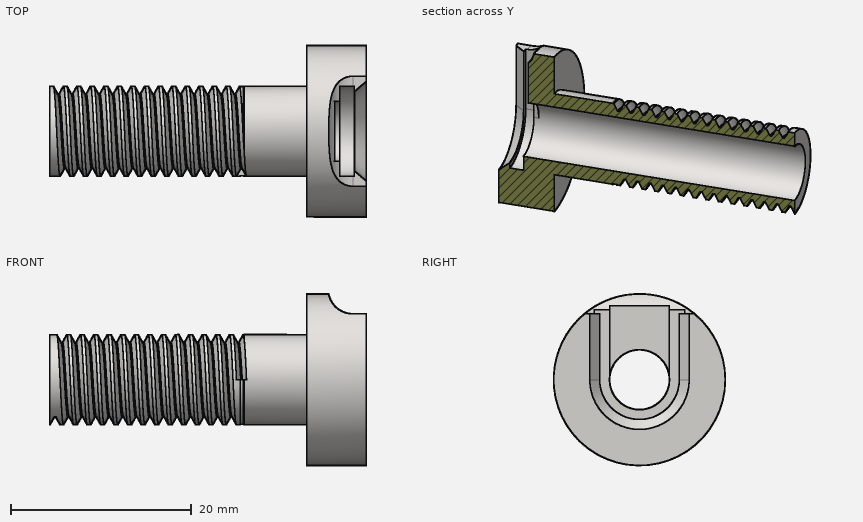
import cadquery as cq
import math

total_length = 35.0
head_diameter = 19.0
head_thickness = 6.6
shank_diameter = 10.0
bore_diameter = 6.6

shank_radius = shank_diameter / 2
head_radius = head_diameter / 2
bore_radius = bore_diameter / 2
head_start = total_length - head_thickness

thread_pitch = 1.5
thread_turns = 13.75
groove_width = 1.12
groove_root_width = 0.17
groove_depth = 0.86
groove_end_clearance = 0.02
groove_start = groove_width / 2 + groove_end_clearance
cutter_overshoot = 0.1

runout_start = 21.05
runout_floor_end = 21.4
runout_end = 21.5
runout_depth = 0.05

relief_height = 7.3
relief_arc_radius = 2.7
relief_flat_length = 1.5

narrow_slot_start = 31.5
wide_slot_start = 32.05
wide_slot_end = 33.65
wide_slot_radius = 5.0
mouth_start = 33.7
mouth_inner_radius = 4.4
mouth_outer_radius = 5.5


def make_body():
    """Shank and head with the through bore."""
    shank = cq.Workplane("YZ").circle(shank_radius).extrude(head_start)
    head = cq.Workplane("YZ").workplane(offset=head_start).circle(head_radius).extrude(head_thickness)
    bore = cq.Workplane("YZ").circle(bore_radius).extrude(total_length)
    return shank.union(head).cut(bore)


def groove_section():
    """V groove section in the XZ plane, with the thread axis along Z."""
    root_radius = shank_radius - groove_depth
    outer_radius = shank_radius + cutter_overshoot
    flank_slope = (groove_width - groove_root_width) / 2 / groove_depth
    root_half = groove_root_width / 2
    outer_half = groove_width / 2 + flank_slope * cutter_overshoot
    return cq.Workplane("XZ").polyline([
        (root_radius, -root_half),
        (outer_radius, -outer_half),
        (outer_radius, outer_half),
        (root_radius, root_half),
    ]).close()


def lay_along_bolt(cutter):
    """Turn a cutter built about Z so that it follows X and starts at the -Z side of the shank."""
    return cutter.rotate((0, 0, 0), (0, 1, 0), 90).translate((groove_start, 0, 0))


def make_thread_cutter():
    """Helical V groove."""
    helix = cq.Wire.makeHelix(thread_pitch, thread_pitch * thread_turns, shank_radius)
    return lay_along_bolt(groove_section().sweep(cq.Workplane(helix), isFrenet=True))


def make_lead_in_cutter():
    """Straight run of the V groove, tangent to the start of the helix and open towards -Y."""
    return lay_along_bolt(groove_section().extrude(shank_radius))


def make_runout_cutter():
    """Shallow ring groove at the end of the thread, with a bevelled wall on the head side."""
    floor_radius = shank_radius - runout_depth
    outer_radius = shank_radius + cutter_overshoot
    return (
        cq.Workplane("XY")
        .polyline([
            (runout_start, floor_radius),
            (runout_floor_end, floor_radius),
            (runout_end, shank_radius),
            (runout_end, outer_radius),
            (runout_start, outer_radius),
        ])
        .close()
        .revolve(360, (0, 0, 0), (1, 0, 0))
    )


def make_relief_cutter():
    """Material above the relief floor, bounded by the arc on the shank side."""
    arc_end = total_length - relief_flat_length
    arc_center_height = relief_height + relief_arc_radius
    arc_mid_offset = relief_arc_radius * math.sqrt(0.5)
    return (
        cq.Workplane("XZ")
        .moveTo(total_length, relief_height)
        .lineTo(arc_end, relief_height)
        .threePointArc(
            (arc_end - arc_mid_offset, arc_center_height - arc_mid_offset),
            (arc_end - relief_arc_radius, arc_center_height),
        )
        .lineTo(total_length, arc_center_height)
        .close()
        .extrude(head_radius, both=True)
    )


def slot_section(plane, radius):
    """Closed U outline: a half circle below the axis and straight sides up to the head radius."""
    return (
        plane.moveTo(-radius, head_radius)
        .lineTo(-radius, 0)
        .threePointArc((0, -radius), (radius, 0))
        .lineTo(radius, head_radius)
        .close()
    )


def make_slot(start, end, radius):
    """Round-bottomed slot of constant width between two X positions."""
    plane = cq.Workplane("YZ").workplane(offset=start)
    return slot_section(plane, radius).extrude(end - start)


def make_mouth():
    """Round-bottomed slot that flares towards the head face."""
    flare_length = total_length - mouth_start
    inner = slot_section(cq.Workplane("YZ").workplane(offset=mouth_start), mouth_inner_radius)
    return slot_section(inner.workplane(offset=flare_length), mouth_outer_radius).loft(ruled=True)


result = (
    make_body()
    .cut(make_thread_cutter())
    .cut(make_lead_in_cutter())
    .cut(make_runout_cutter())
    .cut(make_relief_cutter())
    .cut(make_slot(narrow_slot_start, wide_slot_start, bore_radius))
    .cut(make_slot(wide_slot_start, wide_slot_end, wide_slot_radius))
    .cut(make_slot(wide_slot_end, mouth_start, mouth_inner_radius))
    .cut(make_mouth())
)